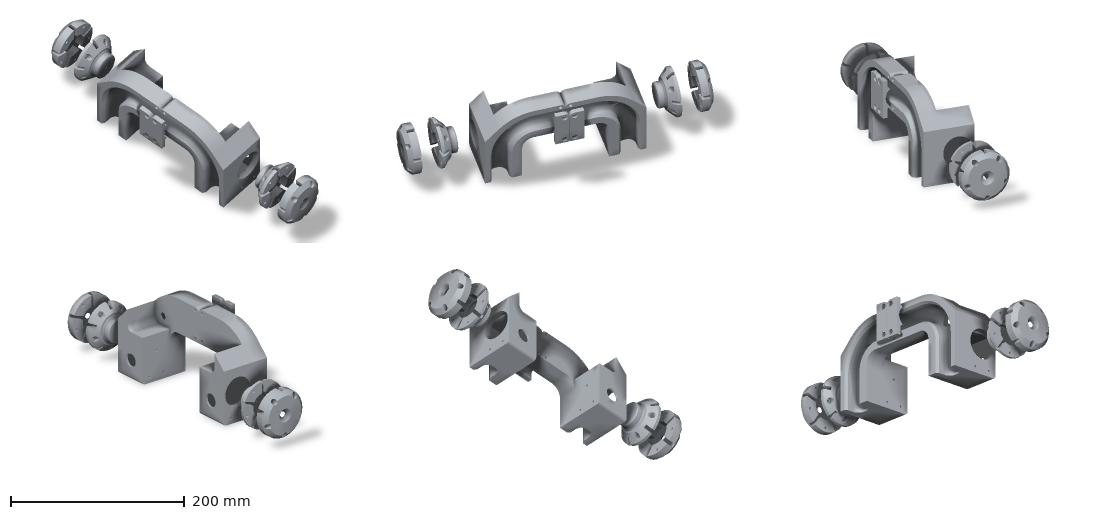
import cadquery as cq
import math

frame_half_width = 96.8
frame_height = 103.15
leg_inner_x = 52.2
arch_inner_z = 59.6
arch_depth = 23.0
block_depth = 63.8
arch_outer_radius = 58.5
arch_inner_radius = 14.0
split_round = 6.0
ledge_fillet = 8.0
block_corner_radius = 4.0

channel_leg_x = 77.2
channel_top_z = 82.7
channel_bend_radius = 41.7
leg_channel_floor_half = 1.55
rail_channel_floor_half = 0.05
channel_half_width = 10.55
channel_depth = 20.4
lip_width = 2.4
lip_depth = 3.5

bend_hole_diameter = 9.0
bend_bore_diameter = 17.0
bend_hole_x = 65.0
bend_hole_z = 71.2
bend_bore_depth = 21.5

axis_y = 43.0
axis_z = 38.0
leg_bore_diameter = 37.0
leg_bore_depth = 7.5
cavity_half_width = 18.5
cavity_top = 15.5
cavity_bottom = -33.0
cavity_end_x = 57.0
axis_hole_diameter = 3.0
window_diameter = 17.0
window_x = 73.0
window_drop = 13.5
pin_hole_diameter = 3.0
pin_hole_spacing = 21.0
pin_hole_drop = 30.6

plate_gap = 0.5
plate_half_width = 17.3
plate_height = 46.1
plate_top_z = 104.31
plate_front_y = -16.83
plate_thickness = 5.6
ridge_tip_half = 10.9
ridge_arc_sagitta = 5.8
screw_x = 6.0
screw_inset = 5.5
screw_diameter = 3.4
screw_head_diameter = 7.0
screw_head_depth = 3.0
frame_screw_diameter = 4.0

wheel_radius = 30.0
cap_face_x = 183.15
cap_thickness = 15.0
cap_chamfer = 5.7
countersink_diameter = 17.0
countersink_end_diameter = 7.0
hub_face_x = 143.9
hub_length = 23.4
flange_thickness = 4.0
cone_end = 13.8
neck_fillet = 2.0
spigot_diameter = 31.4
spigot_chamfer = 1.0
pocket_diameter = 30.4
pocket_depth = 10.0
hub_recess_diameter = 24.0
hub_recess_depth = 13.0
slot_width = 4.5
slot_count = 5
slot_overlap = 0.7
bolt_circle_radius = 25.2
cap_seat_depth = 8.0
hub_seat_level = 6.0


def front_prism(sketch, y_start, y_end):
    """Turn an XZ outline (a closed XZ wire) into a prism between two Y levels."""
    return sketch.extrude(-(y_end - y_start)).translate((0, y_start, 0))


def y_cylinder(x, z, diameter, y_start, y_end):
    """Cylinder along +Y."""
    return cq.Workplane("XZ", origin=(x, y_start, z)).circle(diameter / 2).extrude(y_start - y_end)


def x_cylinder(diameter, x_start, x_end, y=axis_y, z=axis_z):
    """Cylinder along +X, on the wheel axis by default."""
    return cq.Workplane("YZ", origin=(x_start, y, z)).circle(diameter / 2).extrude(x_end - x_start)


def mirrored(body):
    """Copy of a left-hand body on the right of the symmetry plane."""
    return body.mirror("YZ")


arch_centre_x = -(frame_half_width - arch_outer_radius)
arch_centre_z = frame_height - arch_outer_radius
shoulder_x = arch_centre_x - arch_outer_radius * math.sqrt(0.5)
shoulder_z = arch_centre_z + arch_outer_radius * math.sqrt(0.5)
shoulder_foot_z = shoulder_z - (shoulder_x + frame_half_width)


def arch():
    """Front band: leg, chamfered shoulder, bend and top rail up to the split."""
    middle_angle = math.pi / 8
    bend_middle = (
        arch_centre_x - arch_outer_radius * math.sin(middle_angle),
        arch_centre_z + arch_outer_radius * math.cos(middle_angle),
    )
    inner_turn = arch_inner_radius * (1 - math.sqrt(0.5))
    outline = (
        cq.Workplane("XZ")
        .moveTo(-frame_half_width, 0)
        .lineTo(-frame_half_width, shoulder_foot_z)
        .lineTo(shoulder_x, shoulder_z)
        .threePointArc(bend_middle, (arch_centre_x, frame_height))
        .lineTo(-split_round, frame_height)
        .radiusArc((0, frame_height - split_round), split_round)
        .lineTo(0, arch_inner_z)
        .lineTo(-leg_inner_x + arch_inner_radius, arch_inner_z)
        .threePointArc(
            (-leg_inner_x + inner_turn, arch_inner_z - inner_turn),
            (-leg_inner_x, arch_inner_z - arch_inner_radius),
        )
        .lineTo(-leg_inner_x, 0)
        .close()
    )
    return front_prism(outline, 0, arch_depth)


def block():
    """Deep leg block with a tall outer wall that rounds down to a ledge."""
    outline = (
        cq.Workplane("XZ")
        .moveTo(-frame_half_width, 0)
        .lineTo(-frame_half_width, shoulder_foot_z)
        .lineTo(shoulder_x, shoulder_z)
        .lineTo(shoulder_x, arch_inner_z + ledge_fillet)
        .radiusArc((shoulder_x + ledge_fillet, arch_inner_z), -ledge_fillet)
        .lineTo(-leg_inner_x, arch_inner_z)
        .lineTo(-leg_inner_x, 0)
        .close()
    )
    solid = front_prism(outline, 0, block_depth)
    return solid.edges("|X and >Y and <Z").fillet(block_corner_radius)


def channel_section(plane, floor_half):
    """Round-bottomed section with flared lips; its flat floor is 2 * floor_half wide."""
    half = channel_half_width
    floor_round = half - floor_half
    turn = floor_round * (1 - math.sqrt(0.5))
    round_start = channel_depth - floor_round
    return (
        plane.moveTo(-half - lip_width, 0)
        .lineTo(-half, lip_depth)
        .lineTo(-half, round_start)
        .threePointArc((-half + turn, channel_depth - turn), (-floor_half, channel_depth))
        .lineTo(floor_half, channel_depth)
        .threePointArc((half - turn, channel_depth - turn), (half, round_start))
        .lineTo(half, lip_depth)
        .lineTo(half + lip_width, 0)
        .close()
    )


def channel():
    """Channel up the leg, round the bend and along the rail; its floor narrows through the bend."""
    bend_start_z = channel_top_z - channel_bend_radius
    bend_end_x = -channel_leg_x + channel_bend_radius
    turn = channel_bend_radius * (1 - math.sqrt(0.5))
    upward = cq.Vector(0, 0, 1)
    inward = cq.Vector(1, 0, 0)

    def section(x, z, across, along, floor_half):
        plane = cq.Plane(origin=(x, 0, z), xDir=across, normal=along)
        return channel_section(cq.Workplane(plane), floor_half)

    leg = section(-channel_leg_x, 0, inward, upward, leg_channel_floor_half).extrude(bend_start_z)
    rail = section(0, channel_top_z, upward, -inward, rail_channel_floor_half).extrude(-bend_end_x)
    bend_sections = [
        section(-channel_leg_x, bend_start_z, inward, upward, leg_channel_floor_half).wires().val(),
        section(bend_end_x, channel_top_z, -upward, inward, rail_channel_floor_half).wires().val(),
    ]
    bend_path = cq.Edge.makeThreePointArc(
        cq.Vector(-channel_leg_x, 0, bend_start_z),
        cq.Vector(-channel_leg_x + turn, 0, channel_top_z - turn),
        cq.Vector(bend_end_x, 0, channel_top_z),
    )
    bend = cq.Solid.sweep_multi(bend_sections, cq.Wire.assembleEdges([bend_path]))
    return [leg, cq.Workplane(obj=bend), rail]


def bend_hole():
    bore = y_cylinder(-bend_hole_x, bend_hole_z, bend_bore_diameter, 0, bend_bore_depth)
    hole = y_cylinder(-bend_hole_x, bend_hole_z, bend_hole_diameter, 0, arch_depth)
    return bore.union(hole)


def leg_openings():
    """Wheel bore, the cavity behind it, its window to the back, the axis hole and the pin holes."""
    bore_floor_x = -frame_half_width + leg_bore_depth
    cuts = x_cylinder(leg_bore_diameter, -frame_half_width, bore_floor_x)
    cavity_length = -cavity_end_x - bore_floor_x
    cavity = (
        cq.Workplane("XY")
        .box(cavity_length, 2 * cavity_half_width, cavity_top - cavity_bottom, centered=(False, True, False))
        .translate((bore_floor_x, axis_y, axis_z + cavity_bottom))
    )
    cuts = cuts.union(cavity)
    cuts = cuts.union(y_cylinder(-window_x, axis_z - window_drop, window_diameter, axis_y, block_depth))
    cuts = cuts.union(x_cylinder(axis_hole_diameter, -frame_half_width, -leg_inner_x))
    for side in (-1, 1):
        pin_y = axis_y + side * pin_hole_spacing / 2
        cuts = cuts.union(
            x_cylinder(pin_hole_diameter, -frame_half_width, -leg_inner_x, pin_y, axis_z - pin_hole_drop)
        )
    return cuts


def screw_levels():
    """Heights of the upper and lower clamp screws."""
    return (plate_top_z - screw_inset, plate_top_z - plate_height + screw_inset)


def frame_half():
    body = arch().union(block())
    for stretch in channel():
        body = body.cut(stretch)
    body = body.cut(bend_hole()).cut(leg_openings())
    for z in screw_levels():
        body = body.cut(y_cylinder(-screw_x, z, frame_screw_diameter, 0, arch_depth))
    return body


def clamp_plate():
    back_y = plate_front_y + plate_thickness
    tip_y = back_y + lip_depth
    bottom_z = plate_top_z - plate_height
    base_half = ridge_tip_half + lip_width
    section = (
        cq.Workplane("YZ", origin=(-plate_half_width, 0, 0))
        .moveTo(plate_front_y, bottom_z)
        .lineTo(back_y, bottom_z)
        .lineTo(back_y, channel_top_z - base_half)
        .lineTo(tip_y, channel_top_z - ridge_tip_half)
        .threePointArc(
            (tip_y - ridge_arc_sagitta, channel_top_z), (tip_y, channel_top_z + ridge_tip_half)
        )
        .lineTo(back_y, channel_top_z + base_half)
        .lineTo(back_y, plate_top_z)
        .lineTo(plate_front_y, plate_top_z)
        .close()
    )
    body = section.extrude(plate_half_width - plate_gap / 2)
    body = body.edges("|Y and >X and >Z").fillet(split_round - plate_gap / 2)
    for z in screw_levels():
        body = body.cut(y_cylinder(-screw_x, z, screw_diameter, plate_front_y, back_y))
        head_end = plate_front_y + screw_head_depth
        body = body.cut(y_cylinder(-screw_x, z, screw_head_diameter, plate_front_y, head_end))
    return body


def turned(profile):
    """Revolve a (distance along X, radius) profile about the wheel axis."""
    return cq.Workplane("XY").polyline(profile).close().revolve(360, (0, 0, 0), (1, 0, 0))


def slot_cutter(x_start):
    """Radial slots from the pocket out through the rim, one of them straight up."""
    cutter = cq.Workplane("XY")
    for index in range(slot_count):
        slot = (
            cq.Workplane("XY")
            .box(pocket_depth, slot_width, wheel_radius, centered=(False, True, False))
            .translate((x_start, 0, pocket_diameter / 2 - slot_overlap))
            .rotate((0, 0, 0), (1, 0, 0), index * 360 / slot_count)
        )
        cutter = cutter.union(slot)
    return cutter


def bolt_holes(diameter, x_start, x_end):
    """Ring of holes along X, one of them straight down, between the slots."""
    return (
        cq.Workplane("YZ", origin=(x_start, 0, 0))
        .polarArray(bolt_circle_radius, -90, 360, slot_count)
        .circle(diameter / 2)
        .extrude(x_end - x_start)
    )


def on_axis(body, face_x):
    return body.translate((-face_x, axis_y, axis_z))


def cap():
    floor_x = cap_thickness - pocket_depth
    body = turned([
        (0, countersink_diameter / 2),
        (0, wheel_radius - cap_chamfer),
        (cap_chamfer, wheel_radius),
        (cap_thickness, wheel_radius),
        (cap_thickness, pocket_diameter / 2),
        (floor_x, pocket_diameter / 2),
        (floor_x, countersink_end_diameter / 2),
    ])
    body = body.cut(slot_cutter(floor_x))
    body = body.cut(bolt_holes(screw_diameter, 0, cap_thickness))
    body = body.cut(bolt_holes(screw_head_diameter, 0, cap_seat_depth))
    return on_axis(body, cap_face_x)


def hub():
    cone_end_radius = wheel_radius - (cone_end - flange_thickness)
    spigot_radius = spigot_diameter / 2
    body = turned([
        (hub_recess_depth, axis_hole_diameter / 2),
        (hub_recess_depth, hub_recess_diameter / 2),
        (pocket_depth, hub_recess_diameter / 2),
        (pocket_depth, pocket_diameter / 2),
        (0, pocket_diameter / 2),
        (0, wheel_radius),
        (flange_thickness, wheel_radius),
        (cone_end, cone_end_radius),
        (cone_end, spigot_radius + neck_fillet),
        (cone_end + neck_fillet, spigot_radius),
        (hub_length - spigot_chamfer, spigot_radius),
        (hub_length, spigot_radius - spigot_chamfer),
        (hub_length, axis_hole_diameter / 2),
    ])
    body = body.cut(slot_cutter(0))
    body = body.cut(bolt_holes(screw_diameter, 0, hub_length))
    body = body.cut(bolt_holes(screw_head_diameter, hub_seat_level, hub_length))
    return on_axis(body, hub_face_x)


left_bodies = [frame_half(), clamp_plate(), cap(), hub()]
solids = []
for left_body in left_bodies:
    solids.append(left_body.val())
    solids.append(mirrored(left_body).val())
result = cq.Compound.makeCompound(solids)